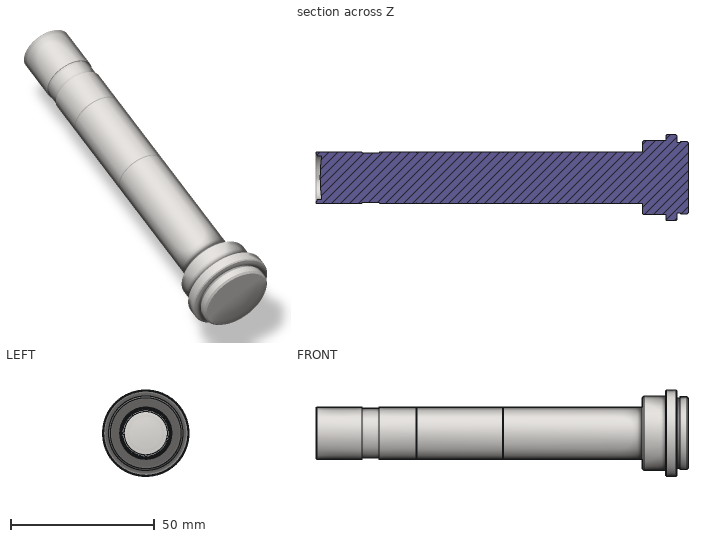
import cadquery as cq

total_length = 129.5
neck_start = 16.0
neck_end = 22.0
joint_positions = (35.0, 65.0)
collar_start = 113.3
flange_start = 121.4
thread_length = 4.0
relief_length = 1.0
flange_end = total_length - thread_length
thread_start = flange_end + relief_length

tube_radius = 9.0
neck_radius = 8.7
collar_radius = 13.0
flange_radius = 15.0
relief_radius = 12.3
thread_radius = 12.7

collar_chamfer = 0.6
flange_chamfer = 0.4
thread_chamfer = 0.6
joint_depth = 0.2

rim_chamfer = 0.32
mouth_radius = 8.4
mouth_depth = 0.4
ledge_radius = 8.0
lens_radius = 7.5
lens_edge_depth = 2.0
lens_bulge = 0.5
lens_sphere_radius = (lens_radius**2 + lens_bulge**2) / (2 * lens_bulge)


def cylinder(start, end, radius):
    return cq.Workplane("YZ", origin=(start, 0, 0)).circle(radius).extrude(end - start)


def revolve_about_x(outline):
    return outline.close().revolve(360, (0, 0, 0), (1, 0, 0))


def tube():
    front = cylinder(0, neck_start, tube_radius).faces("<X").chamfer(rim_chamfer)
    neck = cylinder(neck_start, neck_end, neck_radius)
    rear = cylinder(neck_end, collar_start, tube_radius)
    return front.union(neck).union(rear)


def joint_groove(position):
    return revolve_about_x(
        cq.Workplane("XY")
        .moveTo(position - joint_depth, tube_radius)
        .lineTo(position, tube_radius - joint_depth)
        .lineTo(position + joint_depth, tube_radius)
    )


def mount():
    collar = cylinder(collar_start, flange_start, collar_radius).faces("<X").chamfer(collar_chamfer)
    flange = cylinder(flange_start, flange_end, flange_radius).edges().chamfer(flange_chamfer)
    relief = cylinder(flange_end, thread_start, relief_radius)
    thread = cylinder(thread_start, total_length, thread_radius).faces(">X").chamfer(thread_chamfer)
    return collar.union(flange).union(relief).union(thread)


def lens_recess():
    return revolve_about_x(
        cq.Workplane("XY")
        .lineTo(0, mouth_radius)
        .lineTo(mouth_depth, ledge_radius)
        .lineTo(mouth_depth, lens_radius)
        .lineTo(lens_edge_depth, lens_radius)
        .radiusArc((lens_edge_depth - lens_bulge, 0), -lens_sphere_radius)
    )


result = tube().union(mount()).cut(lens_recess())
for joint_position in joint_positions:
    result = result.cut(joint_groove(joint_position))